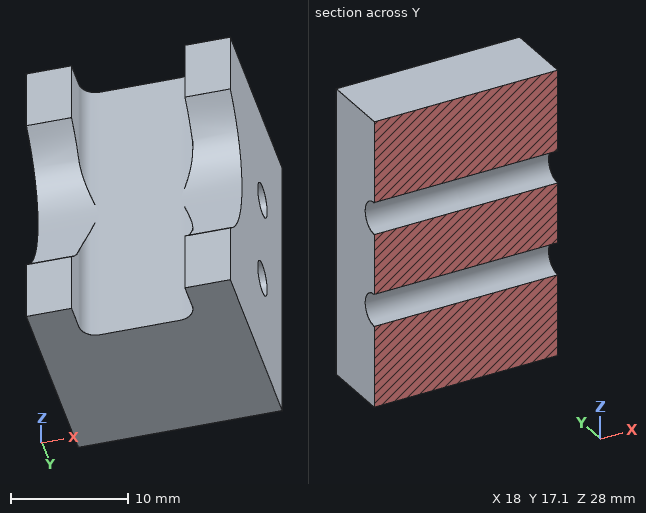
import cadquery as cq

WIDTH = 18.0
DEPTH = 17.14
HEIGHT = 28.0

CHANNEL_WIDTH = 10.0
CHANNEL_DEPTH = 3.85
CHANNEL_CORNER_RADIUS = 1.44

SADDLE_OPENING = 16.0
SADDLE_RADIUS = ((SADDLE_OPENING / 2) ** 2 + CHANNEL_DEPTH**2) / (2 * CHANNEL_DEPTH)

HOLE_DIAMETER = 3.1
HOLE_SPACING = 9.0
HOLE_FROM_BACK = 6.55

FRONT_Y = -DEPTH
CHANNEL_FLOOR_Y = FRONT_Y + CHANNEL_DEPTH


def make_block():
    return cq.Workplane("XY").box(WIDTH, DEPTH, HEIGHT).translate((0, -DEPTH / 2, 0))


def make_channel():
    """Channel cutter with its two floor corners rounded."""
    return (
        cq.Workplane("XY")
        .box(CHANNEL_WIDTH, CHANNEL_DEPTH, HEIGHT)
        .edges("|Z and >Y")
        .fillet(CHANNEL_CORNER_RADIUS)
        .translate((0, FRONT_Y + CHANNEL_DEPTH / 2, 0))
    )


def cross_cylinder(radius, y, z):
    """Cylinder along X through the full width of the block."""
    return (
        cq.Workplane("YZ")
        .center(y, z)
        .circle(radius)
        .extrude(WIDTH / 2, both=True)
    )


result = make_block().cut(make_channel())
result = result.cut(cross_cylinder(SADDLE_RADIUS, CHANNEL_FLOOR_Y - SADDLE_RADIUS, 0))
for hole_z in (-HOLE_SPACING / 2, HOLE_SPACING / 2):
    result = result.cut(cross_cylinder(HOLE_DIAMETER / 2, -HOLE_FROM_BACK, hole_z))